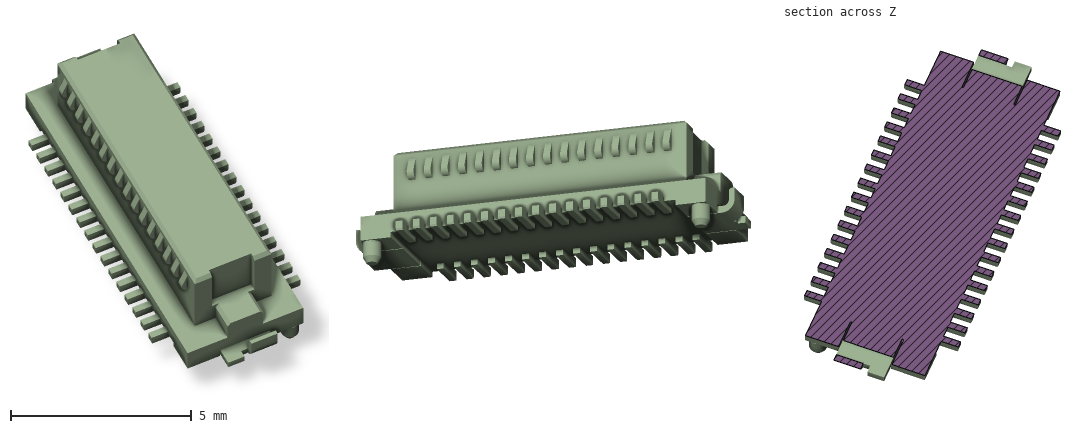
import cadquery as cq
import math

BASE_LENGTH = 10.12
BASE_WIDTH = 3.57
BASE_TOP = 0.7
RELIEF_LENGTH = 8.35
RELIEF_HEIGHT = 0.15
CHANNEL_WIDTH = 1.58
CHANNEL_HEIGHT = 0.27

TOWER_LENGTH = 8.59
TOWER_WIDTH = 2.38
TOWER_TOP = 2.7
EDGE_CHAMFER = 0.1
RECESS_WIDTH = 1.31
RECESS_DEPTH = 0.2

RIB_WIDTH = 1.1
RIB_TOP = 1.3

CONTACT_COUNT = 16
CONTACT_PITCH = 0.5
CONTACT_WIDTH = 0.2
TAIL_SPAN = 4.6
TAIL_HEIGHT = 0.27
TAIL_CHAMFER_HEIGHT = 0.05
TAIL_CHAMFER_INSET = 0.02
BUMP_TOP = 2.46
BUMP_CREST_Z = 2.03
BUMP_PROTRUSION = 0.18
BUMP_RADIUS = 0.2
BUMP_LEAD_ANGLE = 24.5

PEG_X = 4.82
PEG_Y = 1.49
PEG_RADIUS = 0.25
PEG_LENGTH = 0.6
PEG_TIP_HEIGHT = 0.17
PEG_TIP_INSET = 0.1

CLIP_SPAN = 11.1
CLIP_TOP = BASE_TOP
CLIP_HALF_WIDTH = 0.75
CLIP_PLATE_THICKNESS = 0.2
CLIP_WALL_THICKNESS = 0.17
CLIP_WALL_END_Y = -0.05
CLIP_BEND_RADIUS = 0.17
CLIP_TIP_RADIUS = 0.09
TAB_SETBACK = 0.03
NOTCH_END_Y = -0.25
NOTCH_SETBACK = 0.24
RAMP_SETBACK = 0.17
RAMP_RUN = 0.17


def block(x_min, x_max, y_min, y_max, z_min, z_max):
    """Box given by its limits along each axis."""
    size = (x_max - x_min, y_max - y_min, z_max - z_min)
    return cq.Workplane("XY").box(*size, centered=False).translate((x_min, y_min, z_min))


def centered_block(length, width, z_min, z_max):
    """Box centred on the Z axis."""
    return block(-length / 2, length / 2, -width / 2, width / 2, z_min, z_max)


def both_ends(left_feature):
    """The feature on the -X end together with its mirror image on the +X end."""
    return left_feature.union(left_feature.mirror("YZ"))


def make_base():
    base = centered_block(BASE_LENGTH, BASE_WIDTH, 0, BASE_TOP)
    relief = centered_block(RELIEF_LENGTH, BASE_WIDTH, 0, RELIEF_HEIGHT)
    half_width = CHANNEL_WIDTH / 2
    channel = block(-BASE_LENGTH / 2, -RELIEF_LENGTH / 2, -half_width, half_width, 0, CHANNEL_HEIGHT)
    return base.cut(relief).cut(both_ends(channel))


def make_tower():
    tower = centered_block(TOWER_LENGTH, TOWER_WIDTH, BASE_TOP, TOWER_TOP)
    tower = tower.faces(">Z").edges().chamfer(EDGE_CHAMFER)
    end_x = -TOWER_LENGTH / 2
    recess = block(end_x, end_x + RECESS_DEPTH, -RECESS_WIDTH / 2, RECESS_WIDTH / 2, RIB_TOP, TOWER_TOP)
    return tower.cut(both_ends(recess))


def make_ribs():
    rib = block(-BASE_LENGTH / 2, -TOWER_LENGTH / 2, -RIB_WIDTH / 2, RIB_WIDTH / 2, BASE_TOP, RIB_TOP)
    return both_ends(rib.faces(">Z").edges("|X").chamfer(EDGE_CHAMFER))


def extrude_contact(side_profile):
    """Extrude a closed YZ profile to the contact width, centred on x = 0."""
    return side_profile.extrude(CONTACT_WIDTH / 2, both=True)


def make_tail():
    """Tail on the +Y side, with a chamfered lower outer edge."""
    tail_end = TAIL_SPAN / 2
    tail_start = TOWER_WIDTH / 2
    profile = (
        cq.Workplane("YZ")
        .moveTo(tail_start, 0)
        .lineTo(tail_end - TAIL_CHAMFER_INSET, 0)
        .lineTo(tail_end, TAIL_CHAMFER_HEIGHT)
        .lineTo(tail_end, TAIL_HEIGHT)
        .lineTo(tail_start, TAIL_HEIGHT)
        .close()
    )
    return extrude_contact(profile)


def make_bump():
    """Spring bump on the +Y face of the tower: sloped lead-in above a rounded crest."""
    wall_y = TOWER_WIDTH / 2
    center_y = wall_y + BUMP_PROTRUSION - BUMP_RADIUS
    lead_angle = math.radians(BUMP_LEAD_ANGLE)
    lead_end = (
        center_y + BUMP_RADIUS * math.cos(lead_angle),
        BUMP_CREST_Z + BUMP_RADIUS * math.sin(lead_angle),
    )
    profile = (
        cq.Workplane("YZ")
        .moveTo(wall_y, BUMP_TOP)
        .lineTo(*lead_end)
        .radiusArc((center_y, BUMP_CREST_Z - BUMP_RADIUS), BUMP_RADIUS)
        .lineTo(center_y, BUMP_TOP)
        .close()
    )
    return extrude_contact(profile)


def add_contacts(body):
    first_x = -(CONTACT_COUNT - 1) * CONTACT_PITCH / 2
    for feature in (make_tail(), make_bump()):
        pair = feature.union(feature.mirror("XZ"))
        for index in range(CONTACT_COUNT):
            body = body.union(pair.translate((first_x + index * CONTACT_PITCH, 0, 0)))
    return body


def make_pegs():
    peg = (
        cq.Workplane("XY")
        .center(-PEG_X, PEG_Y)
        .circle(PEG_RADIUS)
        .extrude(-PEG_LENGTH)
        .faces("<Z")
        .chamfer(PEG_TIP_HEIGHT, PEG_TIP_INSET)
    )
    return both_ends(peg)


def make_clips():
    outer_x = -CLIP_SPAN / 2
    inner_x = -RELIEF_LENGTH / 2
    wall_x = outer_x + CLIP_WALL_THICKNESS
    outer_bend = CLIP_BEND_RADIUS + CLIP_PLATE_THICKNESS
    base_x = -BASE_LENGTH / 2
    ramp_x = base_x + RAMP_SETBACK
    strip = (
        cq.Workplane("XZ")
        .moveTo(inner_x, 0)
        .lineTo(outer_x + outer_bend, 0)
        .radiusArc((outer_x, outer_bend), outer_bend)
        .lineTo(outer_x, CLIP_TOP)
        .lineTo(wall_x - CLIP_TIP_RADIUS, CLIP_TOP)
        .radiusArc((wall_x, CLIP_TOP - CLIP_TIP_RADIUS), CLIP_TIP_RADIUS)
        .lineTo(wall_x, outer_bend)
        .radiusArc((wall_x + CLIP_BEND_RADIUS, CLIP_PLATE_THICKNESS), -CLIP_BEND_RADIUS)
        .lineTo(ramp_x, CLIP_PLATE_THICKNESS)
        .lineTo(ramp_x + RAMP_RUN, CHANNEL_HEIGHT)
        .lineTo(inner_x, CHANNEL_HEIGHT)
        .close()
        .extrude(CLIP_HALF_WIDTH, both=True)
    )
    flat_zone = block(outer_x, base_x, -CLIP_HALF_WIDTH, CLIP_WALL_END_Y, 0, CLIP_TOP)
    notch_x = outer_x + NOTCH_SETBACK
    notch_plate = block(notch_x, base_x, NOTCH_END_Y, CLIP_WALL_END_Y, 0, CLIP_PLATE_THICKNESS)
    tab_x = outer_x + TAB_SETBACK
    tab = block(tab_x, base_x, -CLIP_HALF_WIDTH, NOTCH_END_Y, 0, CLIP_PLATE_THICKNESS)
    return both_ends(strip.cut(flat_zone).union(notch_plate).union(tab))


housing = make_base().union(make_tower()).union(make_ribs())
result = add_contacts(housing).union(make_pegs()).union(make_clips())